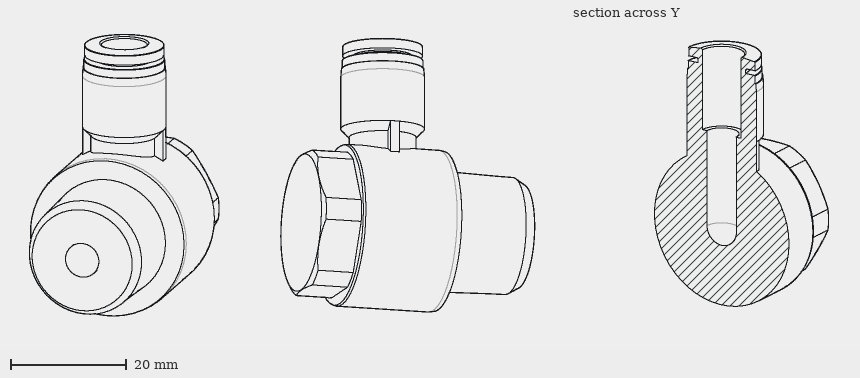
import cadquery as cq


body_diameter = 28.0
body_front = -10.0
body_back = 7.8
body_front_chamfer_length = 0.9
body_back_chamfer_length = 0.4
body_chamfer_depth = 0.15

thread_end = -24.7
thread_root_diameter = 21.0
thread_tip_diameter = 20.3
thread_end_diameter = 18.05
thread_chamfer_length = 1.9

hex_across_flats = 23.8
hex_corner_diameter = 25.55
hex_end_diameter = 23.7
hex_length = 6.95
flat_up_angle = 30
hex_chamfer_length = 0.6

total_height = 46.3
port_top = total_height - body_diameter / 2
sleeve_diameter = 14.5
sleeve_bottom = 17.4
sleeve_taper_start = 26.55
collar_bottom = 27.95
collar_top = 29.5
collar_diameter = 14.0
sleeve_top_diameter = 14.25
neck_diameter = 11.58
neck_cone_height = 1.5
groove_diameter = 9.95
groove_top_diameter = 10.2
groove_cone_height = 0.25
cap_diameter = 13.8
cap_bottom = 30.3
cap_cone_height = 0.32
rim_chamfer = 0.1
rib_width = 1.6

passage_diameter = 6
tube_bore_diameter = 7.9
tube_bore_bottom = sleeve_bottom
bore_lead_in = 0.3
bore_mouth_radius = tube_bore_diameter / 2 + bore_lead_in


def revolve_about_y(profile):
    """Turn a solid from (radius, y) points that run from one end to the other."""
    points = [(0, profile[0][1])] + profile + [(0, profile[-1][1])]
    return cq.Workplane("XY").polyline(points).close().revolve(360, (0, 0, 0), (0, 1, 0))


def revolve_about_z(profile):
    """Turn a solid from (radius, z) points that run from one end to the other."""
    points = [(0, profile[0][1])] + profile + [(0, profile[-1][1])]
    return cq.Workplane("XZ").polyline(points).close().revolve(360, (0, 0, 0), (0, 1, 0))


def make_body_and_thread():
    body_radius = body_diameter / 2
    face_radius = body_radius - body_chamfer_depth
    return revolve_about_y([
        (thread_end_diameter / 2, thread_end),
        (thread_tip_diameter / 2, thread_end + thread_chamfer_length),
        (thread_root_diameter / 2, body_front),
        (face_radius, body_front),
        (body_radius, body_front + body_front_chamfer_length),
        (body_radius, body_back - body_back_chamfer_length),
        (face_radius, body_back),
    ])


def make_hex_head():
    head_end = body_back + hex_length
    hexagon = (
        cq.Workplane("XZ", origin=(0, body_back, 0))
        .polygon(6, hex_across_flats, circumscribed=True)
        .extrude(-hex_length)
        .rotate((0, 0, 0), (0, 1, 0), flat_up_angle)
    )
    rounded_corners = revolve_about_y([
        (hex_corner_diameter / 2, body_back),
        (hex_corner_diameter / 2, head_end - hex_chamfer_length),
        (hex_end_diameter / 2, head_end),
    ])
    return hexagon.intersect(rounded_corners)


def make_port():
    """Neck, sleeve and collar under a release cap with a shallow conical top."""
    cap_rim = port_top - cap_cone_height
    return revolve_about_z([
        (neck_diameter / 2, 0),
        (neck_diameter / 2, sleeve_bottom - neck_cone_height),
        (sleeve_diameter / 2, sleeve_bottom),
        (sleeve_diameter / 2, sleeve_taper_start),
        (sleeve_top_diameter / 2, collar_bottom),
        (collar_diameter / 2, collar_bottom),
        (collar_diameter / 2, collar_top - rim_chamfer),
        (collar_diameter / 2 - rim_chamfer, collar_top),
        (groove_diameter / 2, collar_top),
        (groove_diameter / 2, cap_bottom - groove_cone_height),
        (groove_top_diameter / 2, cap_bottom),
        (cap_diameter / 2, cap_bottom),
        (cap_diameter / 2, cap_rim - rim_chamfer),
        (cap_diameter / 2 - rim_chamfer, cap_rim),
        (bore_mouth_radius, port_top),
    ])


def make_ribs():
    """One plate through the neck forms the rib on each side of it."""
    return cq.Workplane("XY").rect(sleeve_diameter, rib_width).extrude(sleeve_bottom)


def make_passage():
    """Elbow with a ball-shaped corner that opens into the tube bore."""
    passage_radius = passage_diameter / 2
    bore_radius = tube_bore_diameter / 2
    front_leg = revolve_about_y([(passage_radius, thread_end), (passage_radius, 0)])
    upper_leg = revolve_about_z([
        (passage_radius, 0),
        (passage_radius, tube_bore_bottom),
        (bore_radius, tube_bore_bottom),
        (bore_radius, port_top - bore_lead_in),
        (bore_mouth_radius, port_top),
    ])
    corner = cq.Workplane("XY").sphere(passage_radius)
    return front_leg.union(upper_leg).union(corner)


outside = make_body_and_thread().union(make_hex_head()).union(make_port()).union(make_ribs())
result = outside.cut(make_passage())